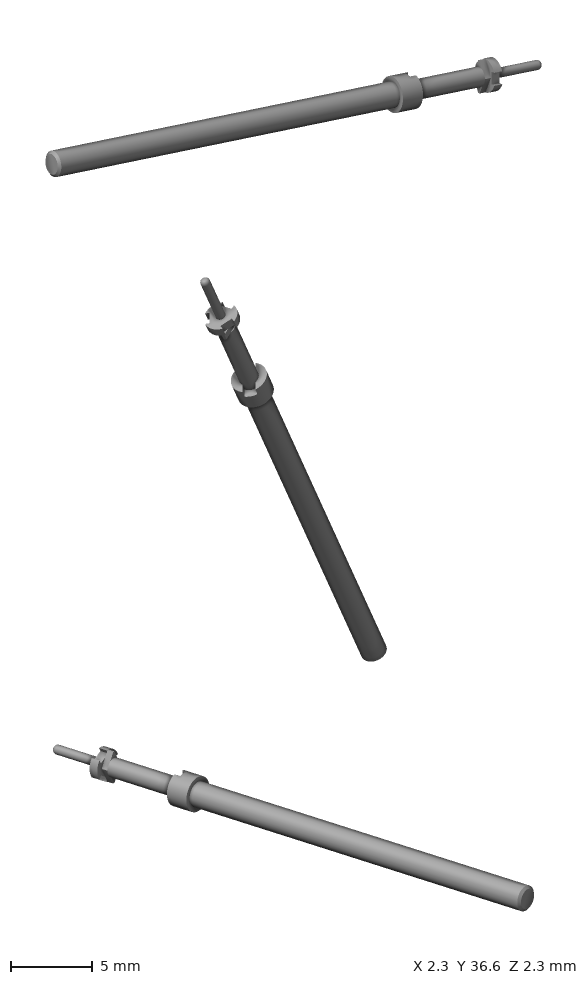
import cadquery as cq

overall_length = 36.6
barrel_length = 25.5
barrel_radius = 0.825
barrel_end_face_radius = 0.65
barrel_end_bevel_length = 0.15

collar_length = 1.5
collar_radius = 1.15
collar_slot_width = 0.83
collar_slot_depth = 0.45

shaft_radius = 0.635

pin_length = 3.55
pin_radius = 0.31
pin_tip_fillet = 0.25

flange_thickness = 0.6
flange_radius = 1.07
flange_notch_width = 0.83
flange_notch_floor = 0.70
flange_notch_count = 3

key_length = 0.45
key_half_width = 0.63
key_half_height = 1.05
key_tip_half_width = 0.07

tip_y = overall_length - barrel_length
flange_front_y = tip_y - pin_length
flange_rear_y = flange_front_y - flange_thickness
key_rear_y = flange_rear_y - key_length


def rod(radius, start_y, end_y):
    """Solid cylinder on the Y axis from start_y up to end_y."""
    plane = cq.Workplane("XZ", origin=(0, start_y, 0))
    return plane.circle(radius).extrude(start_y - end_y)


def make_barrel():
    barrel = rod(barrel_radius, -barrel_length, 0)
    radial_bevel = barrel_radius - barrel_end_face_radius
    return barrel.faces("<Y").chamfer(barrel_end_bevel_length, radial_bevel)


def make_collar():
    """Collar with a straight slot across its front, along Z."""
    collar = rod(collar_radius, 0, collar_length)
    slot = cq.Workplane("XY").box(
        collar_slot_width,
        collar_slot_depth,
        2 * collar_radius,
    )
    slot_center_y = collar_length - collar_slot_depth / 2
    return collar.cut(slot.translate((0, slot_center_y, 0)))


def make_flange():
    """Disc with equally spaced, square-sided notches in its rim."""
    flange = rod(flange_radius, flange_rear_y, flange_front_y)
    notch_height = flange_radius - flange_notch_floor
    notch = cq.Workplane("XY").box(notch_height, flange_thickness, flange_notch_width)
    notch_center_x = flange_notch_floor + notch_height / 2
    notch_center_y = (flange_rear_y + flange_front_y) / 2
    notch = notch.translate((notch_center_x, notch_center_y, 0))
    for index in range(flange_notch_count):
        angle = index * 360 / flange_notch_count
        flange = flange.cut(notch.rotate((0, 0, 0), (0, 1, 0), angle))
    return flange


def make_key():
    """Diamond prism with its upper and lower points cut flat."""
    outline = [
        (-key_half_width, 0),
        (-key_tip_half_width, key_half_height),
        (key_tip_half_width, key_half_height),
        (key_half_width, 0),
        (key_tip_half_width, -key_half_height),
        (-key_tip_half_width, -key_half_height),
    ]
    plane = cq.Workplane("XZ", origin=(0, key_rear_y, 0))
    return plane.polyline(outline).close().extrude(-key_length)


def make_pin():
    pin = rod(pin_radius, flange_front_y, tip_y)
    return pin.faces(">Y").edges().fillet(pin_tip_fillet)


result = (
    make_barrel()
    .union(make_collar())
    .union(rod(shaft_radius, 0, key_rear_y))
    .union(make_key())
    .union(make_flange())
    .union(make_pin())
)